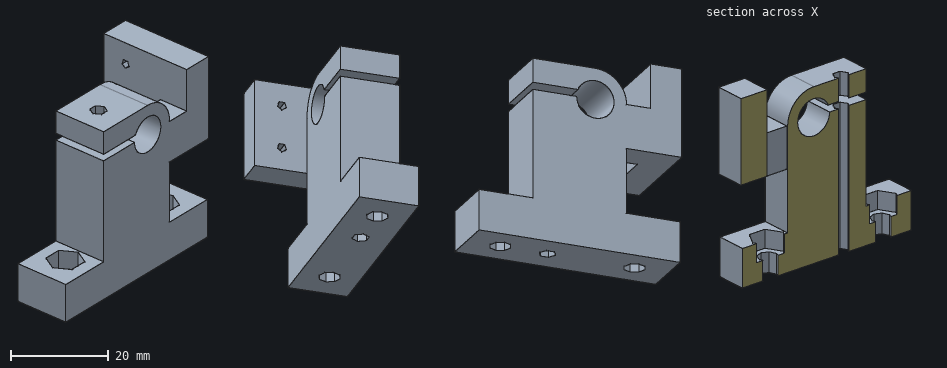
import cadquery as cq

body_width = 13.0
base_length = 45.05
base_height = 9.1

post_depth = 20.97
axis_height = 33.3
ring_radius = 7.0
bore_radius = 4.18
slot_gap = 1.6

clamp_hole_from_front = 6.0
clamp_hole_radius = 1.8

mount_spacing = 30.05
mount_hole_radius = 2.3
mount_hole_sides = 8
nut_radius = 4.1
nut_depth = 4.3

plate_width = 22.5
plate_height = 19.75
plate_thickness = 7.0
plate_top = 43.2
plate_overhang = 0.35
bridge_width = 7.1
plate_hole_radius = 1.0
plate_hole_spacing = 9.62
plate_hole_from_edge = 5.95
plate_hole_sides = 5

HEX_SIDES = 6
HEX_TURN = 30
CORNER_DOWN_TURN = -90

right_side = body_width / 2
post_front = -post_depth / 2
post_back = post_depth / 2
axis_y = post_back - ring_radius
plate_back = base_length / 2 + plate_overhang
plate_front = plate_back - plate_thickness
plate_bottom = plate_top - plate_height


def block(x_range, y_range, z_range):
    """Box spanning the given (low, high) range on each axis."""
    size = [high - low for low, high in (x_range, y_range, z_range)]
    corner = (x_range[0], y_range[0], z_range[0])
    return cq.Workplane("XY").box(*size, centered=False).translate(corner)


def prism_z(sides, radius, turn, center_y, z_range):
    """Upright regular prism on the body's middle plane; radius is to its corners."""
    outline = cq.Workplane("XY").polygon(sides, 2 * radius)
    prism = outline.extrude(z_range[1] - z_range[0])
    return prism.rotate((0, 0, 0), (0, 0, 1), turn).translate((0, center_y, z_range[0]))


def cylinder_x(radius):
    """Cylinder on the bore axis across the full body width."""
    sketch = cq.Workplane("YZ", origin=(-right_side, 0, 0))
    return sketch.center(axis_y, axis_height).circle(radius).extrude(body_width)


def clamp_body():
    """Base bar and post, topped by the split ring and its clamping jaw."""
    across = (-right_side, right_side)
    jaw_top = axis_height + ring_radius
    base = block(across, (-base_length / 2, base_length / 2), (0, base_height))
    post = block(across, (post_front, post_back), (0, axis_height))
    jaw = block(across, (post_front, axis_y), (axis_height, jaw_top))
    slot = block(across, (post_front, axis_y), (axis_height, axis_height + slot_gap))
    body = base.union(post).union(cylinder_x(ring_radius)).union(jaw)
    return body.cut(slot).cut(cylinder_x(bore_radius))


def clamp_screw_hole():
    """Hexagonal hole from the jaw down through the post and base."""
    center_y = post_front + clamp_hole_from_front
    return prism_z(HEX_SIDES, clamp_hole_radius, HEX_TURN, center_y, (0, plate_top))


def mount_hole(center_y):
    """Base screw hole with a nut pocket sunk from the top of the base."""
    hole = prism_z(mount_hole_sides, mount_hole_radius, 0, center_y, (0, base_height))
    pocket_range = (base_height - nut_depth, base_height)
    pocket = prism_z(HEX_SIDES, nut_radius, HEX_TURN, center_y, pocket_range)
    return hole.union(pocket)


def side_plate():
    """Upright plate behind the post, with its bridge and two small through holes."""
    plate_left = right_side - plate_width
    plate_z = (plate_bottom, plate_top)
    plate = block((plate_left, right_side), (plate_front, plate_back), plate_z)
    bridge_x = (right_side - bridge_width, right_side)
    bridge = block(bridge_x, (post_back, plate_front), (plate_bottom, axis_height))

    hole_x = plate_left + plate_hole_from_edge
    hole_z = (plate_bottom + plate_top) / 2
    hole_plane = cq.Workplane("XZ", origin=(hole_x, plate_back, hole_z))
    downward_plane = hole_plane.transformed(rotate=(0, 0, CORNER_DOWN_TURN))
    spots = downward_plane.rarray(plate_hole_spacing, 0.45, 2, 1)
    holes = spots.polygon(plate_hole_sides, 2 * plate_hole_radius).extrude(plate_thickness)
    return plate.cut(holes).union(bridge)


result = clamp_body().cut(clamp_screw_hole())
for end in (-1, 1):
    result = result.cut(mount_hole(end * mount_spacing / 2))
result = result.union(side_plate())